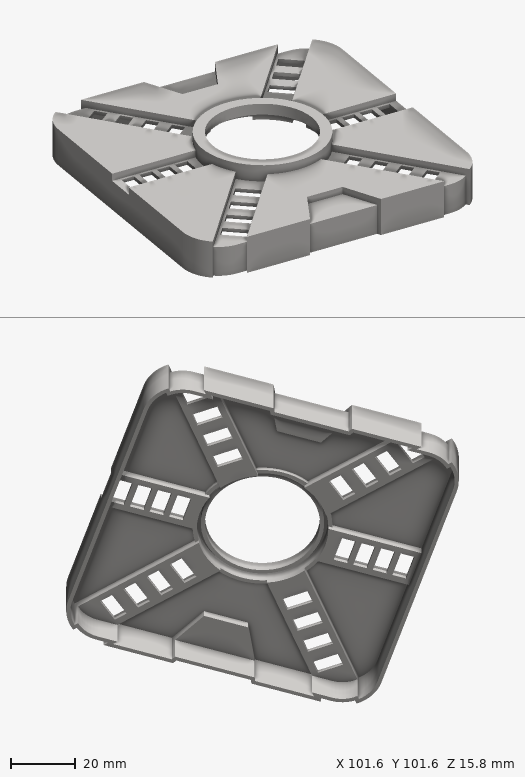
import cadquery as cq

ring_diameter = 43.2
ring_inner_diameter = 40.6
wall = (ring_diameter - ring_inner_diameter) / 2
ring_top = 15.8
bore_diameter = 35.6
collar_diameter = bore_diameter + 2 * wall
collar_height = 3 * wall

side = 101.6
corner_radius = 12.7
cover_height = 12.7

body_side = side - 2 * wall
body_radius = corner_radius - wall
channel_depth = 2.5
body_height = cover_height - channel_depth

slot_count = 4

straight_directions = [90, 270]
straight_width = 10.2
straight_slot = (4.5, 8.5)
straight_last_slot = 45.7
straight_pitch = 5 * wall
straight_first_slot = straight_last_slot - (slot_count - 1) * straight_pitch

diagonal_angle = 39.3
diagonal_width = 10.0
diagonal_offset = 0.1
diagonal_slot = (4.4, 8.3)
diagonal_first_slot = 29.2
diagonal_pitch = 8.5

notch_depth = 12.7
notch_mouth = 25.4
notch_back = 12.7


def rounded_block(length, radius, height):
    """Square block standing on Z = 0 with rounded vertical edges."""
    block = cq.Workplane("XY").box(length, length, height, centered=(True, True, False))
    return block.edges("|Z").fillet(radius)


def cylinder(diameter, bottom, top):
    return cq.Workplane("XY").workplane(offset=bottom).circle(diameter / 2).extrude(top - bottom)


def turned(shape, direction):
    return shape.rotate((0, 0, 0), (0, 0, 1), direction)


def in_four_corners(shape):
    """The shape together with its mirror images across X and Y."""
    pair = shape.union(shape.mirror("YZ"))
    return pair.union(pair.mirror("XZ"))


def radial_bar(width, offset, bottom):
    """Bar along +X from the centre outward, reaching well above the cover."""
    bar = cq.Workplane("XY").box(side, width, cover_height, centered=(False, True, False))
    return bar.translate((0, offset, bottom))


def slot_row(size, offset, first, pitch):
    """Row of rectangular slots along +X."""
    centres = [(first + pitch * i, offset) for i in range(slot_count)]
    return cq.Workplane("XY").pushPoints(centres).rect(*size).extrude(cover_height)


def notch(margin):
    """Trapezoid cutter on the +X side, grown by the margin all round."""
    outer = side / 2
    inner = outer - notch_depth
    outline = [
        (outer, -notch_mouth / 2),
        (outer, notch_mouth / 2),
        (inner, notch_back / 2),
        (inner, -notch_back / 2),
    ]
    sketch = cq.Workplane("XY").polyline(outline).close()
    if margin > 0:
        sketch = sketch.offset2D(margin, "intersection")
    return sketch.extrude(cover_height)


def housing(inset):
    """Solid bounded by the outer skin moved inward by the inset."""
    cover = rounded_block(side - 2 * inset, corner_radius - inset, cover_height - inset)
    diagonal = turned(radial_bar(diagonal_width + 2 * inset, diagonal_offset, 0), diagonal_angle)
    cover = cover.cut(in_four_corners(diagonal))
    for direction in (0, 180):
        cover = cover.cut(turned(notch(inset), direction))
    straight = radial_bar(straight_width + 2 * inset, 0, body_height - inset)
    for direction in straight_directions:
        cover = cover.cut(turned(straight, direction))
    body = rounded_block(body_side - 2 * inset, body_radius - inset, body_height - inset)
    return cover.union(body)


part = housing(0).cut(housing(wall))

part = part.union(cylinder(ring_diameter, body_height, ring_top))
part = part.cut(cylinder(ring_inner_diameter, 0, ring_top - wall))
part = part.union(cylinder(collar_diameter, ring_top - collar_height, ring_top))
part = part.cut(cylinder(bore_diameter, 0, ring_top))

straight_row = slot_row(straight_slot, 0, straight_first_slot, straight_pitch)
for direction in straight_directions:
    part = part.cut(turned(straight_row, direction))
diagonal_row = slot_row(diagonal_slot, diagonal_offset, diagonal_first_slot, diagonal_pitch)
part = part.cut(in_four_corners(turned(diagonal_row, diagonal_angle)))

result = part